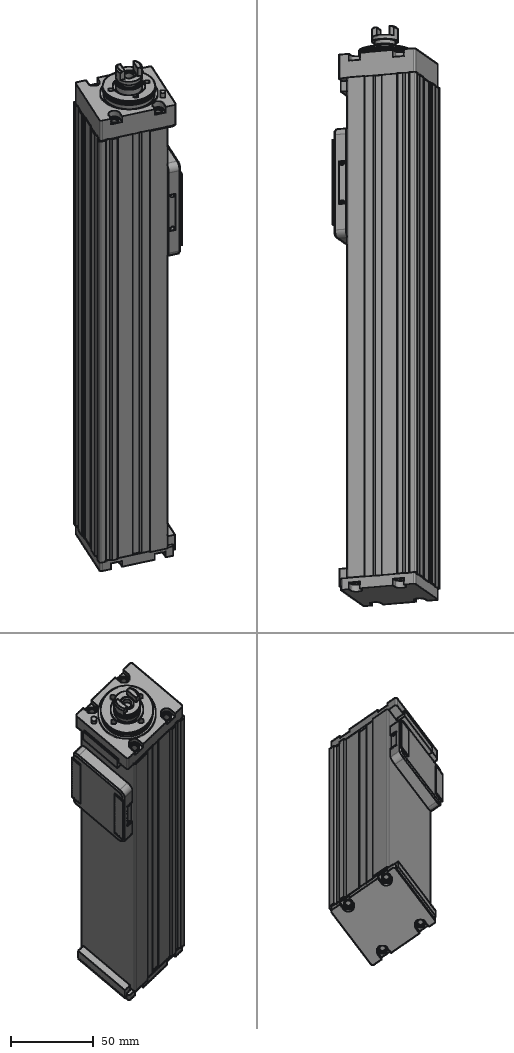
import cadquery as cq

TOP_Z = 177.0
BOTTOM_Z = -177.0
AXIS_Y = 0.53

PROFILE_WIDTH = 45.0
PROFILE_HALF_X = PROFILE_WIDTH / 2
PROFILE_FRONT_Y = -27.0
PROFILE_BACK_Y = 17.5
PROFILE_TOP_Z = 142.5
PROFILE_BOTTOM_Z = -170.0
PROFILE_CORNER_R = 0.9

CHANNEL_MOUTH_HALF_X = 8.0
CHANNEL_BEVEL = 1.0
CHANNEL_STEP_HALF_X = 5.0
CHANNEL_STEP_DEPTH = 0.53
CHANNEL_DEPTH = 2 * CHANNEL_STEP_DEPTH

GROOVE_DEPTH = 1.5
GROOVE_TAPER = 1.0
GROOVE_WIDTH = 4.3
FRONT_GROOVE_X = 16.5
SIDE_GROOVE_Y = -21.0

RECESS_BACK_Y = 6.0
RECESS_FRONT_Y = -14.5
RECESS_DEPTH = 1.0
SIDE_CHANNEL_BACK_Y = 0.7
SIDE_CHANNEL_FRONT_Y = -5.0
SIDE_CHANNEL_DEPTH = 1.0
RECESS_BEVEL = 1.0

END_HALF_X = 21.5
END_FRONT_Y = -26.2
END_CORNER_R = 1.25
HEAD_BACK_Y = 23.0
HEAD_TOP_Z = 157.3
CAP_BACK_Y = 21.5

SCREW_X = 17.7
SCREW_BACK_Y = 12.8
SCREW_FRONT_Y = -15.5
POCKET_DIAMETER = 7.0
POCKET_DEPTH = 4.3
SEAT_DIAMETER = 5.5
SEAT_DEPTH = 1.0
SCREW_HOLE_DIAMETER = 4.0

CLEARANCE = 1.0
CLIP_FRONT_Y = PROFILE_BACK_Y + CLEARANCE
HEAD_CLIP_HALF_X = 14.0
HEAD_CLIP_BACK_Y = 24.0
HEAD_CLIP_TOP_Z = 147.0
HEAD_CLIP_BOTTOM_Z = 136.0
CAP_CLIP_HALF_X = 19.5
CAP_CLIP_BACK_Y = 23.0
CAP_CLIP_TOP_Z = -163.3
CAP_CLIP_BOTTOM_Z = -174.3

PIN_X = 10.5
PIN_Y = 18.5
PIN_DIAMETER = 3.25
PIN_HEIGHT = 3.5

SEAT_RECESS_DIAMETER = 35.0
SEAT_RECESS_DEPTH = 1.0
FLANGE_BOTTOM_Z = HEAD_TOP_Z - SEAT_RECESS_DEPTH
FLANGE_TOP_Z = 162.5
FLANGE_DIAMETER = 32.0
FLANGE_NECK_DIAMETER = 31.0
FLANGE_NECK_TOP_Z = 159.5
RIM_GROOVE_TOP_Z = 161.5
RIM_GROOVE_BOTTOM_Z = 160.5
RIM_GROOVE_DEPTH = 0.7
FLANGE_HOLE_DIAMETER = 3.25
FLANGE_HOLE_COUNT = 4
FLANGE_HOLE_CIRCLE_R = 11.7
HUB_RECESS_DIAMETER = 20.0
HUB_RECESS_DEPTH = 1.8

COLLAR_DIAMETER = 16.0
COLLAR_CHAMFER = 0.7
NECK_DIAMETER = 12.8
COLLAR_BOTTOM_Z = FLANGE_TOP_Z - HUB_RECESS_DEPTH
LOWER_COLLAR_TOP_Z = 165.8
UPPER_COLLAR_BOTTOM_Z = 168.5
UPPER_COLLAR_TOP_Z = 171.0
JAW_WIDTH = 7.8
JAW_GAP = 8.0
JAW_CHAMFER = 1.0
COUPLING_BORE_DIAMETER = 5.5
COUPLING_COUNTERBORE_DIAMETER = 8.5
COUPLING_COUNTERBORE_DEPTH = 1.0

CARRIAGE_HALF_X = 21.3
CARRIAGE_FRONT_Y = PROFILE_BACK_Y + CLEARANCE
CARRIAGE_BACK_Y = 26.2
CARRIAGE_TOP_Z = 112.0
CARRIAGE_BOTTOM_Z = 44.0
CARRIAGE_END_R = 4.3
CARRIAGE_CHAMFER = 1.0
PAD_INNER_X = 14.0
PAD_BACK_Y = 27.0
PAD_TOP_Z = 104.5
PAD_BOTTOM_Z = 51.7

SIDE_POCKET_BACK_Y = 22.5
SIDE_POCKET_TOP_Z = 90.5
SIDE_POCKET_BOTTOM_Z = 64.0
SIDE_POCKET_DEPTH = 0.7
SIDE_HOLE_DIAMETER = 2.5
SIDE_HOLE_Y = 21.0
SIDE_HOLE_INSET = 1.0
SIDE_HOLE_DEPTH = 3.5


def block(x_range, y_range, z_range):
    """Box between the two limits given for each axis, in either order."""
    ranges = [sorted(limits) for limits in (x_range, y_range, z_range)]
    sizes = [high - low for low, high in ranges]
    corner = tuple(low for low, high in ranges)
    return cq.Workplane("XY").box(*sizes, centered=False).translate(corner)


def disc(diameter, z0, z1, x=0.0, y=AXIS_Y):
    """Vertical cylinder from z0 to z1; z1 may lie below z0."""
    return cq.Workplane("XY", origin=(x, y, z0)).circle(diameter / 2).extrude(z1 - z0)


def profile_prism(points):
    """Closed XY outline extruded over the length of the profile."""
    length = PROFILE_TOP_Z - PROFILE_BOTTOM_Z
    return cq.Workplane("XY", origin=(0, 0, PROFILE_BOTTOM_Z)).polyline(points).close().extrude(length)


def front_channel():
    shelf_half_x = CHANNEL_MOUTH_HALF_X - CHANNEL_BEVEL
    shelf_y = PROFILE_FRONT_Y + CHANNEL_STEP_DEPTH
    floor_y = PROFILE_FRONT_Y + CHANNEL_DEPTH
    return profile_prism([
        (-CHANNEL_MOUTH_HALF_X, PROFILE_FRONT_Y),
        (CHANNEL_MOUTH_HALF_X, PROFILE_FRONT_Y),
        (shelf_half_x, shelf_y),
        (CHANNEL_STEP_HALF_X, shelf_y),
        (CHANNEL_STEP_HALF_X, floor_y),
        (-CHANNEL_STEP_HALF_X, floor_y),
        (-CHANNEL_STEP_HALF_X, shelf_y),
        (-shelf_half_x, shelf_y),
    ])


def front_groove():
    mouth = GROOVE_WIDTH / 2
    floor = mouth - GROOVE_TAPER
    floor_y = PROFILE_FRONT_Y + GROOVE_DEPTH
    return profile_prism([
        (FRONT_GROOVE_X - mouth, PROFILE_FRONT_Y),
        (FRONT_GROOVE_X + mouth, PROFILE_FRONT_Y),
        (FRONT_GROOVE_X + floor, floor_y),
        (FRONT_GROOVE_X - floor, floor_y),
    ])


def side_groove():
    mouth = GROOVE_WIDTH / 2
    floor = mouth - GROOVE_TAPER
    floor_x = PROFILE_HALF_X - GROOVE_DEPTH
    return profile_prism([
        (PROFILE_HALF_X, SIDE_GROOVE_Y - mouth),
        (PROFILE_HALF_X, SIDE_GROOVE_Y + mouth),
        (floor_x, SIDE_GROOVE_Y + floor),
        (floor_x, SIDE_GROOVE_Y - floor),
    ])


def side_recess():
    recess_x = PROFILE_HALF_X - RECESS_DEPTH
    channel_x = recess_x - SIDE_CHANNEL_DEPTH
    return profile_prism([
        (PROFILE_HALF_X, RECESS_BACK_Y),
        (recess_x, RECESS_BACK_Y),
        (recess_x, SIDE_CHANNEL_BACK_Y),
        (channel_x, SIDE_CHANNEL_BACK_Y - RECESS_BEVEL),
        (channel_x, SIDE_CHANNEL_FRONT_Y),
        (recess_x, SIDE_CHANNEL_FRONT_Y),
        (recess_x, RECESS_FRONT_Y),
        (PROFILE_HALF_X, RECESS_FRONT_Y - RECESS_BEVEL),
    ])


def make_profile():
    body = block(
        (-PROFILE_HALF_X, PROFILE_HALF_X),
        (PROFILE_FRONT_Y, PROFILE_BACK_Y),
        (PROFILE_BOTTOM_Z, PROFILE_TOP_Z),
    )
    body = body.edges("|Z").fillet(PROFILE_CORNER_R)
    body = body.cut(front_channel())
    for cutter in (front_groove(), side_groove(), side_recess()):
        body = body.cut(cutter).cut(cutter.mirror("YZ"))
    return body


def end_block(back_y, z_range):
    body = block((-END_HALF_X, END_HALF_X), (END_FRONT_Y, back_y), z_range)
    return body.edges("|Z").fillet(END_CORNER_R)


def screw_pockets(face_z, far_z):
    """Four pockets sunk into the end face at face_z, with holes through to far_z."""
    inward = 1 if far_z > face_z else -1
    floor_z = face_z + inward * POCKET_DEPTH
    seat_z = floor_z + inward * SEAT_DEPTH
    cutters = cq.Workplane("XY")
    for x, edge_x in ((-SCREW_X, -END_HALF_X), (SCREW_X, END_HALF_X)):
        for y in (SCREW_BACK_Y, SCREW_FRONT_Y):
            side_opening = block(
                (x, edge_x), (y - POCKET_DIAMETER / 2, y + POCKET_DIAMETER / 2), (face_z, floor_z)
            )
            cutters = (
                cutters.union(side_opening)
                .union(disc(POCKET_DIAMETER, face_z, floor_z, x, y))
                .union(disc(SEAT_DIAMETER, floor_z, seat_z, x, y))
                .union(disc(SCREW_HOLE_DIAMETER, seat_z, far_z, x, y))
            )
    return cutters


def make_head():
    body = end_block(HEAD_BACK_Y, (PROFILE_TOP_Z, HEAD_TOP_Z))
    clip = block(
        (-HEAD_CLIP_HALF_X, HEAD_CLIP_HALF_X),
        (CLIP_FRONT_Y, HEAD_CLIP_BACK_Y),
        (HEAD_CLIP_BOTTOM_Z, HEAD_CLIP_TOP_Z),
    )
    body = body.union(clip)
    body = body.cut(screw_pockets(HEAD_TOP_Z, PROFILE_TOP_Z))
    body = body.cut(disc(SEAT_RECESS_DIAMETER, FLANGE_BOTTOM_Z, HEAD_TOP_Z))
    return body.union(disc(PIN_DIAMETER, FLANGE_BOTTOM_Z, HEAD_TOP_Z + PIN_HEIGHT, PIN_X, PIN_Y))


def make_cap():
    body = end_block(CAP_BACK_Y, (BOTTOM_Z, PROFILE_BOTTOM_Z))
    clip = block(
        (-CAP_CLIP_HALF_X, CAP_CLIP_HALF_X),
        (CLIP_FRONT_Y, CAP_CLIP_BACK_Y),
        (CAP_CLIP_BOTTOM_Z, CAP_CLIP_TOP_Z),
    )
    return body.union(clip).cut(screw_pockets(BOTTOM_Z, PROFILE_BOTTOM_Z))


def make_flange():
    body = disc(FLANGE_NECK_DIAMETER, FLANGE_BOTTOM_Z, FLANGE_NECK_TOP_Z)
    body = body.union(disc(FLANGE_DIAMETER, FLANGE_NECK_TOP_Z, FLANGE_TOP_Z))
    rim_groove = disc(FLANGE_DIAMETER, RIM_GROOVE_BOTTOM_Z, RIM_GROOVE_TOP_Z).cut(
        disc(FLANGE_DIAMETER - 2 * RIM_GROOVE_DEPTH, RIM_GROOVE_BOTTOM_Z, RIM_GROOVE_TOP_Z)
    )
    holes = (
        cq.Workplane("XY", origin=(0, AXIS_Y, FLANGE_BOTTOM_Z))
        .polarArray(FLANGE_HOLE_CIRCLE_R, 0, 360, FLANGE_HOLE_COUNT)
        .circle(FLANGE_HOLE_DIAMETER / 2)
        .extrude(FLANGE_TOP_Z - FLANGE_BOTTOM_Z)
    )
    hub_recess = disc(HUB_RECESS_DIAMETER, COLLAR_BOTTOM_Z, FLANGE_TOP_Z)
    return body.cut(rim_groove).cut(holes).cut(hub_recess)


def coupling_jaws():
    """Two prongs left from a collar-sized cylinder on either side of a gap."""
    half_width = JAW_WIDTH / 2
    half_gap = JAW_GAP / 2
    reach = COLLAR_DIAMETER / 2
    height = (UPPER_COLLAR_TOP_Z, TOP_Z)
    jaws = disc(COLLAR_DIAMETER, *height).faces(">Z").edges().chamfer(JAW_CHAMFER)
    jaws = jaws.intersect(block((-half_width, half_width), (AXIS_Y - reach, AXIS_Y + reach), height))
    return jaws.cut(block((-half_width, half_width), (AXIS_Y - half_gap, AXIS_Y + half_gap), height))


def make_coupling():
    lower_collar = disc(COLLAR_DIAMETER, COLLAR_BOTTOM_Z, LOWER_COLLAR_TOP_Z)
    lower_collar = lower_collar.faces(">Z").edges().chamfer(COLLAR_CHAMFER)
    neck = disc(NECK_DIAMETER, LOWER_COLLAR_TOP_Z, UPPER_COLLAR_BOTTOM_Z)
    upper_collar = disc(COLLAR_DIAMETER, UPPER_COLLAR_BOTTOM_Z, UPPER_COLLAR_TOP_Z)
    body = lower_collar.union(neck).union(upper_collar).union(coupling_jaws())
    counterbore_z = UPPER_COLLAR_TOP_Z - COUPLING_COUNTERBORE_DEPTH
    body = body.cut(disc(COUPLING_COUNTERBORE_DIAMETER, counterbore_z, UPPER_COLLAR_TOP_Z))
    return body.cut(disc(COUPLING_BORE_DIAMETER, LOWER_COLLAR_TOP_Z, counterbore_z))


def carriage_side_cut():
    """Pocket in the +X side of the carriage and the two holes in its floor."""
    cutter = block(
        (CARRIAGE_HALF_X - SIDE_POCKET_DEPTH, CARRIAGE_HALF_X),
        (CARRIAGE_FRONT_Y, SIDE_POCKET_BACK_Y),
        (SIDE_POCKET_BOTTOM_Z, SIDE_POCKET_TOP_Z),
    )
    for z in (SIDE_POCKET_TOP_Z - SIDE_HOLE_INSET, SIDE_POCKET_BOTTOM_Z + SIDE_HOLE_INSET):
        hole = (
            cq.Workplane("YZ", origin=(CARRIAGE_HALF_X, SIDE_HOLE_Y, z))
            .circle(SIDE_HOLE_DIAMETER / 2)
            .extrude(-SIDE_HOLE_DEPTH)
        )
        cutter = cutter.union(hole)
    return cutter


def make_carriage():
    body = block(
        (-CARRIAGE_HALF_X, CARRIAGE_HALF_X),
        (CARRIAGE_FRONT_Y, CARRIAGE_BACK_Y),
        (CARRIAGE_BOTTOM_Z, CARRIAGE_TOP_Z),
    )
    body = body.edges("|Y").fillet(CARRIAGE_END_R)
    body = body.faces(">Y").edges("|X").chamfer(CARRIAGE_CHAMFER)
    for outer_x, inner_x in ((-CARRIAGE_HALF_X, -PAD_INNER_X), (CARRIAGE_HALF_X, PAD_INNER_X)):
        pad = block((outer_x, inner_x), (CARRIAGE_BACK_Y, PAD_BACK_Y), (PAD_BOTTOM_Z, PAD_TOP_Z))
        body = body.union(pad)
    side_cut = carriage_side_cut()
    return body.cut(side_cut).cut(side_cut.mirror("YZ"))


profile = make_profile()
head = make_head()
cap = make_cap()
flange = make_flange()
coupling = make_coupling()
carriage = make_carriage()

result = cq.Compound.makeCompound([
    profile.val(),
    head.val(),
    cap.val(),
    flange.val(),
    coupling.val(),
    carriage.val(),
])